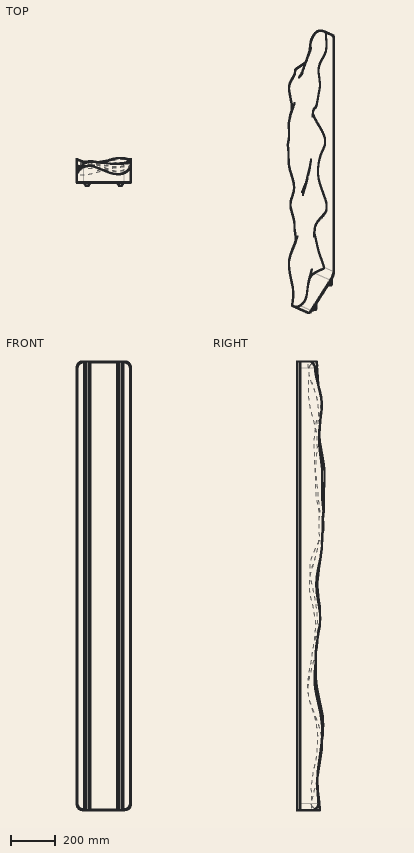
import cadquery as cq
import math

height = 2000.0
width = 242.0
blank_depth = 160.0
corner_radius = 30.0
back_bevel = 5.0

rail_spacing = 148.0
rail_base = 28.0
rail_tip = 10.0
rail_projection = 12.0

edge_depths = [
    55.0, 70.0, 90.0, 100.0, 78.0, 42.0, 45.0, 72.0, 82.0, 75.0, 55.0,
    48.0, 88.0, 102.0, 85.0, 72.0, 78.0, 72.0, 45.0, 40.0, 52.0,
]
crest_depths = [
    90.0, 85.0, 90.0, 105.0, 105.0, 85.0, 72.0, 78.0, 95.0, 95.0, 80.0,
    95.0, 108.0, 110.0, 105.0, 108.0, 95.0, 95.0, 105.0, 88.0, 75.0,
]
station_pitch = height / (len(edge_depths) - 1)

left_lane_x = -60.0
right_lane_x = 40.0
swing_length = height / 2
valley_drop = 35.0
far_edge_drop = 5.0


def wave_section(z, edge_depth, crest_depth):
    """Closed cross-section at height z: flat back and sides, wavy front."""
    half = width / 2
    left_back = cq.Vector(-half, 0, z)
    left_front = cq.Vector(-half, edge_depth, z)
    right_front = cq.Vector(half, crest_depth - far_edge_drop, z)
    right_back = cq.Vector(half, 0, z)
    left_share = (1 + math.cos(2 * math.pi * z / swing_length)) / 2
    left_lane = cq.Vector(left_lane_x, crest_depth - valley_drop * (1 - left_share), z)
    right_lane = cq.Vector(right_lane_x, crest_depth - valley_drop * left_share, z)
    return cq.Wire.assembleEdges([
        cq.Edge.makeLine(left_back, left_front),
        cq.Edge.makeSpline([left_front, left_lane, right_lane, right_front]),
        cq.Edge.makeLine(right_front, right_back),
        cq.Edge.makeLine(right_back, left_back),
    ])


def wave_body():
    """Smooth loft through all the cross-sections."""
    sections = []
    for i, (edge_depth, crest_depth) in enumerate(zip(edge_depths, crest_depths)):
        z = -height / 2 + i * station_pitch
        sections.append(wave_section(z, edge_depth, crest_depth))
    return cq.Workplane(cq.Solid.makeLoft(sections))


def rounded_blank():
    """Upright block with rounded corners and a bevelled back rim."""
    return (
        cq.Workplane("XZ")
        .rect(width, height)
        .extrude(-blank_depth)
        .edges("|Y")
        .fillet(corner_radius)
        .faces("<Y")
        .edges()
        .chamfer(back_bevel)
    )


def rail(x):
    """Full-height tapered rail standing off the back face."""
    return (
        cq.Workplane("XY", origin=(x, 0, -height / 2))
        .polyline([
            (-rail_base / 2, 0),
            (-rail_tip / 2, -rail_projection),
            (rail_tip / 2, -rail_projection),
            (rail_base / 2, 0),
        ])
        .close()
        .extrude(height)
    )


result = rounded_blank().intersect(wave_body())
for side in (-1, 1):
    result = result.union(rail(side * rail_spacing / 2))